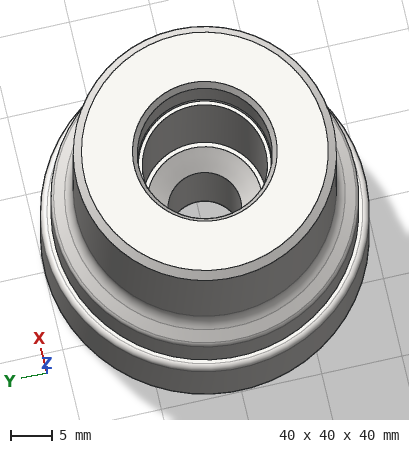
import cadquery as cq
import math

height = 40.0
flange_radius = 20.0
flange_height = 12.0
flange_edge_radius = 0.8
neck_radius = 16.0
neck_chamfer = 1.0

collar_radius = 18.7
collar_straight_top = 18.05
neck_straight_bottom = 22.3
shoulder_angle = math.radians(48)
neck_fillet = 3.2
collar_round = 1.0

mouth_radius = 8.8
mouth_depth = 1.0
seat_radius = 8.2
seat_depth = 6.15
seat_floor_radius = 8.1
step_radius = 7.6
seat_taper_depth = 0.3
counterbore_depth = 24.0
countersink_radius = 7.05
hole_radius = 4.5
countersink_depth = countersink_radius - hole_radius


def arc_offset(radius, angle):
    """Radial and axial run of an arc that starts parallel to the axis."""
    return radius * (1 - math.cos(angle)), radius * math.sin(angle)


def revolve(profile):
    return profile.close().revolve(360, (0, 0, 0), (0, 1, 0))


def make_body():
    collar_mid = arc_offset(collar_round, shoulder_angle / 2)
    collar_end = arc_offset(collar_round, shoulder_angle)
    neck_mid = arc_offset(neck_fillet, shoulder_angle / 2)
    neck_end = arc_offset(neck_fillet, shoulder_angle)
    profile = (
        cq.Workplane("XZ")
        .lineTo(flange_radius, 0)
        .lineTo(flange_radius, flange_height)
        .lineTo(collar_radius, flange_height)
        .lineTo(collar_radius, collar_straight_top)
        .threePointArc(
            (collar_radius - collar_mid[0], collar_straight_top + collar_mid[1]),
            (collar_radius - collar_end[0], collar_straight_top + collar_end[1]),
        )
        .lineTo(neck_radius + neck_end[0], neck_straight_bottom - neck_end[1])
        .threePointArc(
            (neck_radius + neck_mid[0], neck_straight_bottom - neck_mid[1]),
            (neck_radius, neck_straight_bottom),
        )
        .lineTo(neck_radius, height - neck_chamfer)
        .lineTo(neck_radius - neck_chamfer, height)
        .lineTo(0, height)
    )
    flange_edges = cq.selectors.RadiusNthSelector(-1)
    return revolve(profile).edges(flange_edges).fillet(flange_edge_radius)


def make_bore():
    seat_z = height - seat_depth
    floor_z = height - counterbore_depth
    return revolve(
        cq.Workplane("XZ")
        .lineTo(hole_radius, 0)
        .lineTo(hole_radius, floor_z - countersink_depth)
        .lineTo(countersink_radius, floor_z)
        .lineTo(step_radius, floor_z)
        .lineTo(step_radius, seat_z - seat_taper_depth)
        .lineTo(seat_floor_radius, seat_z - seat_taper_depth)
        .lineTo(seat_radius, seat_z)
        .lineTo(seat_radius, height - mouth_depth)
        .lineTo(mouth_radius, height)
        .lineTo(0, height)
    )


result = make_body().cut(make_bore())